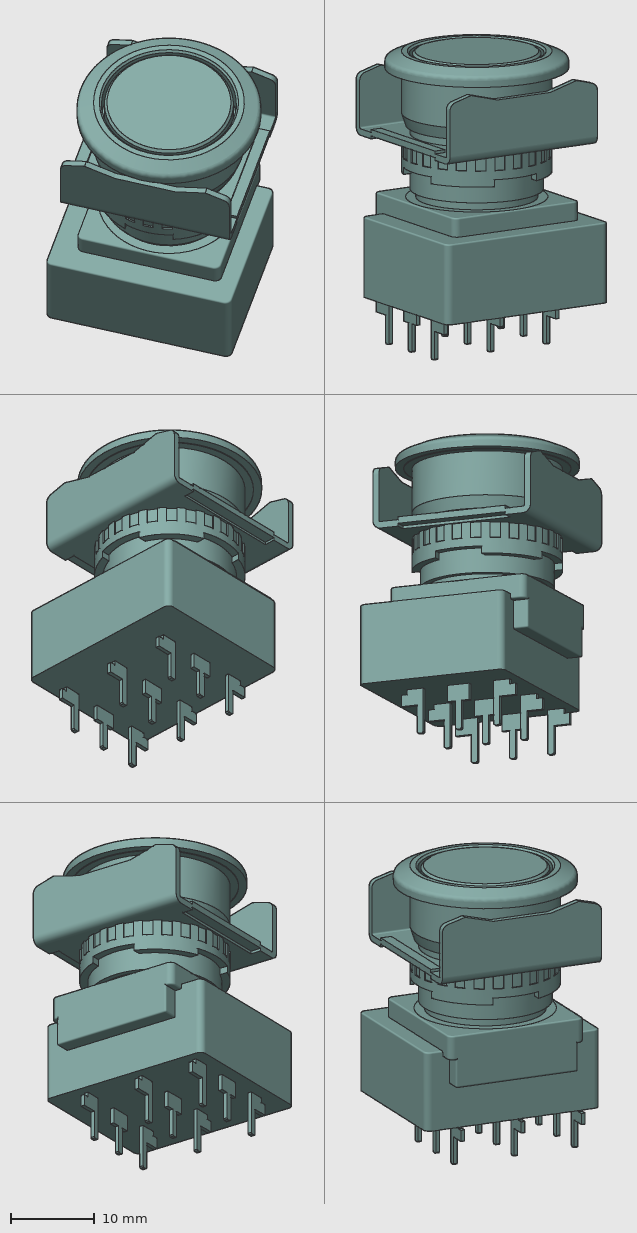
import cadquery as cq
import math


bezel_radius = 11.0
bezel_height = 2.0
bezel_flat_radius = 9.0
bezel_slope_drop = 0.85
bezel_edge_fillet = 0.6
gasket_radius = 10.0
gasket_height = 0.1
groove_outer_radius = 8.05
groove_inner_radius = 7.7
groove_depth = 3.0
groove_outer_chamfer = 0.25
button_edge_chamfer = 0.3

barrel_radius = 9.0
barrel_end_z = -5.5
taper_radius = 8.5
taper_end_z = -7.0
shank_radius = 8.0
shank_end_z = -14.8
neck_radius = 7.3
flange_radius = 8.5
flange_thickness = 1.0

block_size = 17.8
block_top_z = -15.8
block_bottom_z = -18.8
block_corner_radius = 0.8
block_edge_fillet = 0.2
tongue_width = 16.0
tongue_bottom_z = -22.3

base_length = 23.0
base_width = 18.9
base_center_x = -0.4
base_center_y = -2.45
base_top_z = -18.1
base_bottom_z = -27.9
base_corner_radius = 0.8
base_edge_fillet = 0.2

terminal_thickness = 0.5
terminal_length = 5.5
terminal_pitch_x = 7.95
terminal_pitch_y = 5.0
terminal_center_x = -1.95
terminal_center_y = -1.0
leg_width = 0.8
leg_end_chamfer = 0.15
shoulder_depth = 2.0
middle_shoulder_width = 2.8
wing_top_depth = 0.6
wing_root = 1.7
wing_reach = 2.45

bracket_length = 21.0
bracket_width = 20.6
bracket_thickness = 0.8
bracket_bend_radius = 1.0
bracket_bottom_z = -8.8
ear_peak_z = -0.6
ear_peak_x = 7.5
ear_valley_z = -1.6
ear_slope = math.radians(15)
ear_corner_radius = 1.0
lip_width = 14.0
lip_reach = 1.4
lip_rise = 0.35

ring_radius = 9.0
ring_bottom_z = -12.65
ring_slot_count = 24
ring_slot_width = 1.25
ring_slot_depth = 0.2
ring_slot_end_z = -10.7
wrench_notch_width = 6.0
wrench_notch_height = 0.85


def cylinder(radius, bottom_z, top_z):
    return cq.Workplane("XY").workplane(offset=bottom_z).circle(radius).extrude(top_z - bottom_z)


def box(size_x, size_y, bottom_z, top_z, center_x=0.0, center_y=0.0):
    return (
        cq.Workplane("XY", origin=(center_x, center_y, bottom_z))
        .rect(size_x, size_y)
        .extrude(top_z - bottom_z)
    )


def make_operator():
    """Bezel, grooved button face, barrel, neck and flange, turned about Z."""
    profile = [
        (0, block_top_z - flange_thickness),
        (flange_radius, block_top_z - flange_thickness),
        (flange_radius, block_top_z),
        (neck_radius, block_top_z),
        (neck_radius, shank_end_z),
        (shank_radius, shank_end_z),
        (shank_radius, taper_end_z),
        (taper_radius, taper_end_z),
        (barrel_radius, barrel_end_z),
        (barrel_radius, -gasket_height),
        (gasket_radius, -gasket_height),
        (gasket_radius, 0),
        (bezel_radius, 0),
        (bezel_radius, bezel_height - bezel_slope_drop),
        (bezel_flat_radius, bezel_height),
        (0, bezel_height),
    ]
    body = cq.Workplane("XZ").polyline(profile).close().revolve(360, (0, 0, 0), (0, 1, 0))
    rim = body.edges(cq.selectors.RadiusNthSelector(-1)).edges(">Z")
    body = rim.fillet(bezel_edge_fillet)
    floor_z = bezel_height - groove_depth
    body = body.cut(cylinder(groove_outer_radius, floor_z, bezel_height))
    body = body.faces(">Z").edges(cq.selectors.RadiusNthSelector(0)).chamfer(groove_outer_chamfer)
    button = cylinder(groove_inner_radius, floor_z, bezel_height)
    body = body.union(button.faces(">Z").edges().chamfer(button_edge_chamfer))
    return body


def make_block():
    """Rounded block that carries the operator, with the tongue below it."""
    block = box(block_size, block_size, block_bottom_z, block_top_z)
    block = block.edges("|Z").fillet(block_corner_radius)
    block = block.faces("<Z or >Z").edges().fillet(block_edge_fillet)
    tongue = box(tongue_width, block_size, tongue_bottom_z, block_bottom_z + block_edge_fillet)
    tongue = tongue.edges("|Z").fillet(block_edge_fillet)
    tongue = tongue.faces("<Z").edges().fillet(block_edge_fillet)
    return block.union(tongue)


def terminal_blade(x, points):
    """Thin blade cut to an outline in Y and Z, with its leg end bevelled."""
    blade = (
        cq.Workplane("YZ", origin=(x, terminal_center_y, base_bottom_z))
        .polyline(points)
        .close()
        .extrude(terminal_thickness / 2, both=True)
    )
    return blade.faces("<Z").edges("|X").chamfer(leg_end_chamfer)


def outer_terminal(x, side):
    """Terminal with a shoulder that ends in an outward wing."""
    inner = terminal_pitch_y - leg_width / 2
    leg_outer = terminal_pitch_y + leg_width / 2
    points = [
        (inner, 0),
        (terminal_pitch_y + wing_root, 0),
        (terminal_pitch_y + wing_root, -wing_top_depth),
        (terminal_pitch_y + wing_reach, -wing_top_depth),
        (terminal_pitch_y + wing_reach, -shoulder_depth),
        (leg_outer, -shoulder_depth),
        (leg_outer, -terminal_length),
        (inner, -terminal_length),
    ]
    return terminal_blade(x, [(side * y, z) for y, z in points])


def middle_terminal(x):
    """Terminal with a plain shoulder, centred over its leg."""
    points = [
        (-middle_shoulder_width / 2, 0),
        (-middle_shoulder_width / 2, -shoulder_depth),
        (-leg_width / 2, -shoulder_depth),
        (-leg_width / 2, -terminal_length),
        (leg_width / 2, -terminal_length),
        (leg_width / 2, -shoulder_depth),
        (middle_shoulder_width / 2, -shoulder_depth),
        (middle_shoulder_width / 2, 0),
    ]
    return terminal_blade(x, points)


def make_base():
    """Terminal box with its terminals and the block, recessed for the operator's flange."""
    base = box(base_length, base_width, base_bottom_z, base_top_z, base_center_x, base_center_y)
    base = base.edges("|Z").fillet(base_corner_radius)
    base = base.faces(">Z").edges().fillet(base_edge_fillet)
    for row in (-1, 0, 1):
        x = terminal_center_x + row * terminal_pitch_x
        base = base.union(middle_terminal(x))
        for side in (-1, 1):
            base = base.union(outer_terminal(x, side))
    base = base.union(make_block())
    return base.cut(cylinder(flange_radius, block_top_z - flange_thickness, block_top_z))


def make_bracket():
    """Bent channel with two eared walls, and a raised lip at each end of its plate."""
    plate_top_z = bracket_bottom_z + bracket_thickness
    ear_end_z = ear_peak_z - (bracket_length / 2 - ear_peak_x) * math.tan(ear_slope)
    valley_x = ear_peak_x - (ear_peak_z - ear_valley_z) / math.tan(ear_slope)
    half_length = bracket_length / 2
    channel = box(bracket_length, bracket_width, bracket_bottom_z, ear_peak_z)
    channel = channel.faces("<Z").edges("|X").fillet(bracket_bend_radius)
    inside = box(bracket_length, bracket_width - 2 * bracket_thickness, plate_top_z, ear_peak_z)
    inside = inside.faces("<Z").edges("|X").fillet(bracket_bend_radius - bracket_thickness)
    channel = channel.cut(inside)
    ear = (
        cq.Workplane("XZ")
        .polyline(
            [
                (-half_length, bracket_bottom_z),
                (-half_length, ear_end_z),
                (-ear_peak_x, ear_peak_z),
                (-valley_x, ear_valley_z),
                (valley_x, ear_valley_z),
                (ear_peak_x, ear_peak_z),
                (half_length, ear_end_z),
                (half_length, bracket_bottom_z),
            ]
        )
        .close()
        .extrude(bracket_width, both=True)
    )
    ear = ear.edges("|Y and (<X or >X)").edges(">Z").fillet(ear_corner_radius)
    bracket = channel.intersect(ear)
    for side in (-1, 1):
        lip_x = side * (half_length - lip_reach / 2)
        bracket = bracket.cut(
            box(lip_reach, lip_width, bracket_bottom_z, bracket_bottom_z + lip_rise, lip_x)
        )
        bracket = bracket.union(box(lip_reach, lip_width, plate_top_z, plate_top_z + lip_rise, lip_x))
    return bracket.cut(cylinder(shank_radius, bracket_bottom_z, plate_top_z))


def make_ring():
    """Nut with grip slots round its upper part and four wrench notches below."""
    ring = cylinder(ring_radius, ring_bottom_z, bracket_bottom_z)
    slot_length = 4 * ring_slot_depth
    for index in range(ring_slot_count):
        slot = box(slot_length, ring_slot_width, ring_slot_end_z, bracket_bottom_z, ring_radius)
        ring = ring.cut(slot.rotate((0, 0, 0), (0, 0, 1), index * 360 / ring_slot_count))
    slot_floor = cylinder(ring_radius - ring_slot_depth, ring_slot_end_z, bracket_bottom_z)
    ring = ring.union(slot_floor)
    notch_top_z = ring_bottom_z + wrench_notch_height
    across = 2 * ring_radius
    ring = ring.cut(box(across, wrench_notch_width, ring_bottom_z, notch_top_z))
    ring = ring.cut(box(wrench_notch_width, across, ring_bottom_z, notch_top_z))
    return ring.cut(cylinder(shank_radius, ring_bottom_z, bracket_bottom_z))


operator = make_operator()
bracket = make_bracket()
ring = make_ring()
base = make_base()

result = cq.Compound.makeCompound([operator.val(), bracket.val(), ring.val(), base.val()])